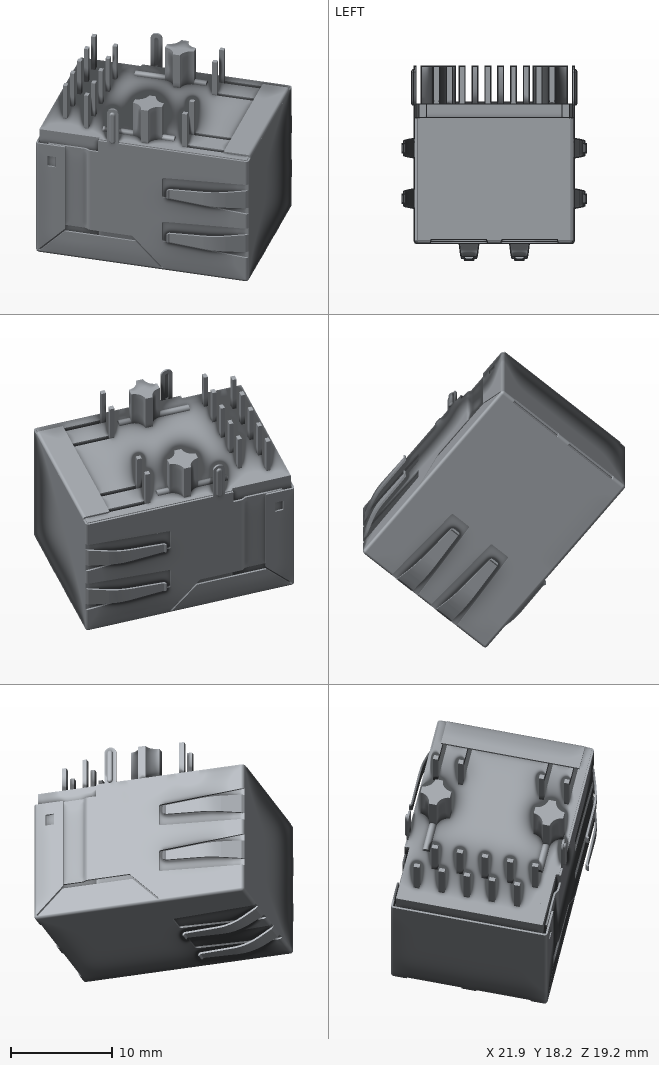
import cadquery as cq
import math

length = 21.85
shield_width = 15.81
shield_top = 13.7
sheet = 0.2
bend_radius = 0.3
pin_top = 17.52
housing_top = 13.78
housing_rear = 0.26

rear_top = 12.43
notch_length = 6.45
rear_flap_end = 3.01
panel_gap = 0.07
joggle_start = 4.91
joggle_end = 5.63
panel_bottom = 3.45
bottom_flap_top = 2.88
bottom_flap_end = 12.95
flap_gap = 0.13
recess_half_width = 7.4

latch_start = 1.22
latch_end = 2.1
latch_bottom = 10.0
latch_height = 1.15
latch_ramp_start = 1.35
latch_crest = 2.05

edge_opening_inner = 0.76
edge_opening_outer = 6.22
edge_opening_height = 0.4
edge_opening_flare = 0.1

spring_pitch = 4.98
side_spring_height = 6.92
side_spring_angle = 18.4
side_spring_bend_end = 19.7
bottom_spring_angle = 28.2
bottom_spring_bend_end = 20.27
spring_root = 21.75
spring_crest = 21.6
spring_bend_start = 17.55
spring_hook_start = 14.06
hook_rise = 0.17
spring_tip_half_width = 0.45
spring_root_half_width = 0.98
window_start = 13.02
window_start_half_width = 1.11
window_end_half_width = 1.68
window_corner = 0.17

strip_start = 19.07
strip_width = 13.98
strip_top = 13.98
tab_x = 7.93
tab_width = 1.2
rib_width = 0.6
rib_height = 0.25
rib_round = 0.17
rib_wall = 0.2
rib_bottom = 13.67
rib_top = 17.17

post_x = 10.99
post_y = 5.72
post_reach = 1.49
post_arm_half_width = 0.37
post_waist = 0.72
rod_start = 6.35
rod_end = 13.7
rod_radius = 0.37

pin_block_front = 5.92
pin_block_width = 13.37
pin_length_x = 0.41
pin_length_y = 0.6
pin_row_x = (2.1, 4.65)
pin_pitch = 2.53
pins_per_row = 5
row_stagger = pin_pitch / 2

contact_block_rear = 10.72
contact_block_width = 4.52

led_y = 5.35
led_rear = 17.43
led_width = 2.88
led_height = 2.18
lead_x = 15.0
lead_size = 0.48
lead_bend = 0.26
lead_spread = 2.53
lead_depth = 0.57
led_depth = 0.7

half_width = shield_width / 2
inner_half_width = half_width - sheet
panel_face = inner_half_width - panel_gap
housing_front = length - sheet
lead_top = housing_top - lead_depth
led_top = housing_top - led_depth
lead_rear = lead_x - lead_size / 2
lead_front = lead_x + lead_size / 2


def box(x0, x1, y0, y1, z0, z1):
    """Axis-aligned box between two corners."""
    return cq.Workplane("XY").box(x1 - x0, y1 - y0, z1 - z0, centered=False).translate((x0, y0, z0))


def mirrored_pair(shape):
    """The shape together with its mirror image across the XZ plane."""
    return shape.union(shape.mirror("XZ"))


def shield_shell():
    """Sheet-metal tray, open at the top, with rounded outer edges."""
    shell = box(0, length, -half_width, half_width, 0, shield_top)
    shell = shell.edges("|Z or <Z").fillet(bend_radius)
    cavity = box(sheet, housing_front, -inner_half_width, inner_half_width, sheet, shield_top)
    notch = box(0, notch_length, -half_width, half_width, rear_top, shield_top)
    return shell.cut(cavity).cut(notch)


def flap_openings():
    """Openings in the +Y wall around the rear flap, bottom flap and recessed panel."""
    gap = (
        cq.Workplane("XZ", origin=(0, half_width, 0))
        .moveTo(rear_flap_end, panel_bottom)
        .lineTo(bottom_flap_end - panel_bottom + bend_radius + flap_gap, panel_bottom)
        .lineTo(bottom_flap_end + flap_gap, bend_radius)
        .lineTo(bottom_flap_end - flap_gap, bend_radius)
        .lineTo(bottom_flap_end - flap_gap - bottom_flap_top + bend_radius, bottom_flap_top)
        .lineTo(rear_flap_end, bottom_flap_top)
        .lineTo(bend_radius + flap_gap, bend_radius)
        .lineTo(bend_radius, bend_radius)
        .lineTo(bend_radius, bend_radius + flap_gap)
        .lineTo(rear_flap_end, bottom_flap_top + 2 * flap_gap)
        .close()
        .extrude(sheet)
    )
    panel = box(rear_flap_end, joggle_end, inner_half_width, half_width, panel_bottom, rear_top)
    latch = box(latch_start, latch_end, inner_half_width, half_width,
                latch_bottom, latch_bottom + latch_height)
    return gap.union(panel).union(latch)


def joggle_points(depth):
    """Start, inflection and end of the S-bend on the panel face lying `depth` below its outer face."""
    wall_y = half_width - depth
    panel_y = panel_face - depth
    middle = ((joggle_start + joggle_end) / 2, (wall_y + panel_y) / 2)
    return (joggle_start, panel_y), middle, (joggle_end, wall_y)


def recessed_panel():
    """+Y wall portion set inward behind the rear flap, joined to the wall by an S-shaped joggle."""
    outer_start, outer_middle, outer_end = joggle_points(0)
    inner_start, inner_middle, inner_end = joggle_points(sheet)
    return (
        cq.Workplane("XY", origin=(0, 0, panel_bottom))
        .moveTo(latch_start, panel_face)
        .lineTo(*outer_start)
        .tangentArcPoint(outer_middle, relative=False)
        .tangentArcPoint(outer_end, relative=False)
        .line(sheet, 0)
        .line(0, -sheet)
        .lineTo(*inner_end)
        .tangentArcPoint(inner_middle, relative=False)
        .tangentArcPoint(inner_start, relative=False)
        .lineTo(latch_start, panel_face - sheet)
        .close()
        .extrude(rear_top - panel_bottom)
    )


def latch_ramp():
    """Wedge on the recessed panel that rises toward +X inside the latch window."""
    return (
        cq.Workplane("XY", origin=(0, 0, latch_bottom))
        .moveTo(latch_ramp_start, panel_face)
        .lineTo(latch_end, panel_face)
        .lineTo(latch_end, inner_half_width)
        .lineTo(latch_crest, half_width - sheet / 2)
        .close()
        .extrude(latch_height)
    )


def ground_tab():
    """Round-ended tab on the +Y wall with an outward rib."""
    tab_radius = tab_width / 2
    round_centre = pin_top - tab_radius
    tab = (
        cq.Workplane("XZ", origin=(tab_x, half_width, 0))
        .moveTo(-tab_radius, shield_top - sheet)
        .lineTo(-tab_radius, round_centre)
        .threePointArc((0, pin_top), (tab_radius, round_centre))
        .lineTo(tab_radius, shield_top - sheet)
        .close()
        .extrude(sheet)
    )
    rib = (
        cq.Workplane("XZ", origin=(tab_x, half_width, (rib_bottom + rib_top) / 2))
        .slot2D(rib_top - rib_bottom, rib_width, 90)
        .extrude(-rib_height)
        .faces(">Y").edges().fillet(rib_round)
    )
    hollow = (
        cq.Workplane("XZ", origin=(tab_x, inner_half_width, (rib_bottom + rib_top) / 2))
        .slot2D(rib_top - rib_bottom - rib_wall, rib_width - rib_wall, 90)
        .extrude(-rib_height)
    )
    return tab.union(rib).cut(hollow)


def edge_opening():
    """Opening through the lower rear bend on the +Y side, wider at the bottom."""
    return (
        cq.Workplane("YZ")
        .moveTo(edge_opening_inner - edge_opening_flare, 0)
        .lineTo(edge_opening_outer + edge_opening_flare, 0)
        .lineTo(edge_opening_outer, edge_opening_height)
        .lineTo(edge_opening_inner, edge_opening_height)
        .close()
        .extrude(bend_radius)
    )


def top_strip():
    """Front panel folded back over the housing top."""
    strip = box(strip_start, length, -strip_width / 2, strip_width / 2, strip_top - sheet, strip_top)
    riser = box(housing_front, length, -strip_width / 2, strip_width / 2,
                shield_top - sheet, strip_top)
    return strip.union(riser).edges("|Y and >X and >Z").fillet(bend_radius)


def spring_plan(start, end, start_half, end_half):
    """Symmetric outline widening along X."""
    return (
        cq.Workplane("XY")
        .polyline([(start, -start_half), (end, -end_half), (end, end_half), (start, start_half)])
        .close()
    )


def spring_window():
    """Cutter for the opening around a spring; local Z points out of the wall at Z = 0."""
    plan = spring_plan(window_start, length, window_start_half_width, window_end_half_width)
    return plan.extrude(-sheet).edges("|Z and <X").fillet(window_corner)


def contact_spring(angle, bend_end):
    """Tapered leaf rising from the front edge at the given angle, then level, with a hooked tip."""
    slope = math.radians(angle)
    outer_radius = (bend_end - spring_bend_start) / math.sin(slope)
    inner_radius = outer_radius - sheet
    bend_height = (spring_root - bend_end) * math.tan(slope)
    level = bend_height + outer_radius * (1 - math.cos(slope))
    centre_height = level - outer_radius

    def on_bend(radius, turn):
        return (spring_bend_start + radius * math.sin(turn), centre_height + radius * math.cos(turn))

    inner_bend_x, inner_bend_height = on_bend(inner_radius, slope)
    inner_root_height = inner_bend_height - (housing_front - inner_bend_x) * math.tan(slope)
    hook_side = sheet / math.sqrt(2)
    hook_tip = spring_hook_start - hook_rise
    profile = (
        cq.Workplane("XZ")
        .moveTo(length, -2 * sheet)
        .lineTo(length, -sheet)
        .lineTo(spring_crest, (spring_root - spring_crest) * math.tan(slope))
        .lineTo(*on_bend(outer_radius, slope))
        .threePointArc(on_bend(outer_radius, slope / 2), on_bend(outer_radius, 0))
        .lineTo(spring_hook_start, level)
        .lineTo(hook_tip, level + hook_rise)
        .lineTo(hook_tip - hook_side, level + hook_rise - hook_side)
        .lineTo(spring_hook_start - hook_side / 2, level - sheet)
        .lineTo(*on_bend(inner_radius, 0))
        .threePointArc(on_bend(inner_radius, slope / 2), (inner_bend_x, inner_bend_height))
        .lineTo(housing_front, inner_root_height)
        .lineTo(housing_front, -2 * sheet)
        .close()
        .extrude(window_end_half_width, both=True)
    )
    tip = hook_tip - hook_side
    plan = spring_plan(tip, length, spring_tip_half_width, spring_root_half_width)
    leaf = plan.extrude(2 * level, both=True).edges("|Z and <X").fillet(window_corner)
    return profile.intersect(leaf)


def build_shield():
    shield = shield_shell().cut(mirrored_pair(flap_openings().union(edge_opening())))
    additions = recessed_panel().union(latch_ramp()).union(ground_tab())
    shield = shield.union(mirrored_pair(additions)).union(top_strip())
    for across in (-spring_pitch / 2, spring_pitch / 2):
        walls = (
            (180, (0, across, 0), bottom_spring_angle, bottom_spring_bend_end),
            (90, (0, -half_width, side_spring_height + across), side_spring_angle, side_spring_bend_end),
            (-90, (0, half_width, side_spring_height + across), side_spring_angle, side_spring_bend_end),
        )
        for turn, place, angle, bend_end in walls:
            window = spring_window().rotate((0, 0, 0), (1, 0, 0), turn).translate(place)
            spring = contact_spring(angle, bend_end).rotate((0, 0, 0), (1, 0, 0), turn).translate(place)
            shield = shield.cut(window).union(spring)
    return shield


def build_pin_block():
    block = box(housing_rear, pin_block_front, -pin_block_width / 2, pin_block_width / 2,
                rear_top, housing_top)
    for row_x, shift in zip(pin_row_x, (row_stagger / 2, -row_stagger / 2)):
        for index in range(pins_per_row):
            pin_y = (index - (pins_per_row - 1) / 2) * pin_pitch + shift
            pin = cq.Workplane("XY", origin=(row_x, pin_y, rear_top))
            block = block.union(pin.rect(pin_length_x, pin_length_y).extrude(pin_top - rear_top))
    return block


def build_contact_block():
    return box(contact_block_rear, housing_front, -contact_block_width / 2, contact_block_width / 2,
               rear_top, housing_top)


def lead_places(side):
    """Y positions of the two leads of one LED."""
    return [side * led_y + offset for offset in (-lead_spread / 2, lead_spread / 2)]


def bent_lead(lead_y):
    """L-shaped lead: a pin and a foot that runs forward to the LED body, rounded inside the corner."""
    foot_bottom = lead_top - lead_size
    return (
        cq.Workplane("XZ", origin=(0, lead_y, 0))
        .moveTo(lead_rear, foot_bottom)
        .lineTo(lead_rear, pin_top)
        .lineTo(lead_front, pin_top)
        .lineTo(lead_front, lead_top + lead_bend)
        .tangentArcPoint((lead_front + lead_bend, lead_top), relative=False)
        .lineTo(led_rear, lead_top)
        .lineTo(led_rear, foot_bottom)
        .close()
        .extrude(lead_size / 2, both=True)
    )


def build_led(side):
    """LED body with two bent leads; side is +1 or -1 for its place along Y."""
    led = box(led_rear, housing_front, side * led_y - led_width / 2, side * led_y + led_width / 2,
              led_top - led_height, led_top)
    for lead_y in lead_places(side):
        led = led.union(bent_lead(lead_y))
    return led


def board_post():
    """Four-armed post with concave flanks."""
    arm = post_arm_half_width
    post = cq.Workplane("XY", origin=(post_x, post_y, housing_top)).moveTo(post_reach, -arm)
    for quarter in range(4):
        turn = quarter * math.pi / 2

        def turned(x, y):
            return (x * math.cos(turn) - y * math.sin(turn), x * math.sin(turn) + y * math.cos(turn))

        post = post.lineTo(*turned(post_reach, arm))
        post = post.threePointArc(turned(post_waist, post_waist), turned(arm, post_reach))
    return post.close().extrude(pin_top - housing_top)


def board_rod():
    """Round bar along X, half sunk in the housing, through the foot of the post."""
    rod = cq.Workplane("YZ", origin=(rod_start, post_y, housing_top)).circle(rod_radius)
    return rod.extrude(rod_end - rod_start)


def build_housing(inserted_bodies):
    housing = box(housing_rear, housing_front, -inner_half_width, inner_half_width, sheet, housing_top)
    recess = box(housing_rear, notch_length, recess_half_width, inner_half_width, sheet, housing_top)
    housing = housing.cut(mirrored_pair(recess))
    housing = housing.union(mirrored_pair(board_post().union(board_rod())))
    for side in (-1, 1):
        for lead_y in lead_places(side):
            slot = box(lead_rear, housing_front, lead_y - lead_size / 2, lead_y + lead_size / 2,
                       led_top, housing_top)
            housing = housing.cut(slot)
    for body in inserted_bodies:
        housing = housing.cut(body)
    return housing


shield = build_shield()
pin_block = build_pin_block()
contact_block = build_contact_block()
leds = [build_led(side) for side in (-1, 1)]
housing = build_housing([pin_block, contact_block, *leds])

result = cq.Compound.makeCompound(
    [body.solids().val() for body in (shield, housing, pin_block, contact_block, *leds)]
)